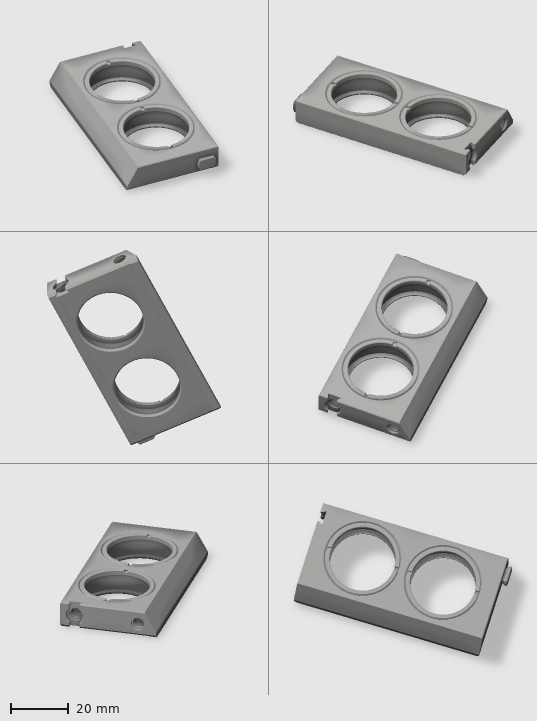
import cadquery as cq
import math

TOTAL_LENGTH = 69.3
STUD_LENGTH = 2.0
BLOCK_LENGTH = TOTAL_LENGTH - STUD_LENGTH
DEPTH = 34.5
HEIGHT = 9.4
MID_HEIGHT = HEIGHT / 2

FRONT_BEVEL_RUN = 4.1
FRONT_BEVEL_ANGLE = 60.0
FRONT_BEVEL_DROP = FRONT_BEVEL_RUN * math.tan(math.radians(FRONT_BEVEL_ANGLE))
EDGE_BREAK = 0.3
END_CHAMFER = 1.05

FOOT_WIDTH = 2.7
FOOT_HEIGHT = 0.2

BORE_X = (19.05, 48.3)
BORE_Y = 19.25
BORE_DIAMETER = 26.25
BORE_MOUTH_DIAMETER = 27.3
LEDGE_DIAMETER = 22.9
LEDGE_FLARE_DIAMETER = 24.0
LEDGE_TOP = 1.2
MOUTH_CHAMFER = (BORE_MOUTH_DIAMETER - BORE_DIAMETER) / 2
LEDGE_CHAMFER = (LEDGE_FLARE_DIAMETER - LEDGE_DIAMETER) / 2

RING_HEIGHT = 1.7
RING_INNER_DIAMETER = 22.9
RING_OUTER_CHAMFER = 0.35
RING_INNER_CHAMFER = 0.2
SPANNER_SLOT_WIDTH = 1.3
SPANNER_SLOT_DEPTH = 0.8

LOCK_Y = 29.45
STUD_NECK_RADIUS = 2.7
STUD_HEAD_RADIUS = 3.5
STUD_FLARE_LENGTH = 1.45
STUD_TIP_CHAMFER = 0.4
STUD_FLAT_INSET = 1.2

SOCKET_DEPTH = 2.0
SOCKET_LIP = 0.7
SOCKET_NECK_RADIUS = 3.0
SOCKET_HEAD_RADIUS = 3.75
SOCKET_BREAK = 0.3
SOCKET_SLOT_INSET = 1.25

FRONT_MAGNET_Y = 6.6
MAGNET_DIAMETER = 4.8
MAGNET_DEPTH = 1.0
PILOT_DIAMETER = 4.0
PILOT_DEPTH = 4.0


def block_body():
    """Beveled prism with chamfered edges and a shallow channel underneath."""
    body = (
        cq.Workplane("YZ")
        .moveTo(0, 0)
        .lineTo(DEPTH, 0)
        .lineTo(DEPTH, HEIGHT)
        .lineTo(FRONT_BEVEL_RUN, HEIGHT)
        .lineTo(0, HEIGHT - FRONT_BEVEL_DROP)
        .close()
        .extrude(BLOCK_LENGTH)
    )
    body = body.faces("<X or >X").edges("<Z").chamfer(END_CHAMFER)
    body = body.faces(">Z").edges("|Y or >Y").chamfer(EDGE_BREAK)
    body = body.faces("<Z").edges(">Y").chamfer(EDGE_BREAK)
    channel_width = DEPTH - 2 * FOOT_WIDTH
    channel = cq.Workplane().box(BLOCK_LENGTH, channel_width, FOOT_HEIGHT, centered=False)
    return body.cut(channel.translate((0, FOOT_WIDTH, 0)))


def ring_bore(x):
    """Bore with a chamfered mouth, above a narrower ledge opening that is chamfered below."""
    flare_radius = LEDGE_FLARE_DIAMETER / 2
    ledge_radius = LEDGE_DIAMETER / 2
    bore_radius = BORE_DIAMETER / 2
    mouth_radius = BORE_MOUTH_DIAMETER / 2
    profile = (
        cq.Workplane("XZ")
        .moveTo(0, 0)
        .lineTo(flare_radius, 0)
        .lineTo(flare_radius, FOOT_HEIGHT)
        .lineTo(ledge_radius, FOOT_HEIGHT + LEDGE_CHAMFER)
        .lineTo(ledge_radius, LEDGE_TOP)
        .lineTo(bore_radius, LEDGE_TOP)
        .lineTo(bore_radius, HEIGHT - MOUTH_CHAMFER)
        .lineTo(mouth_radius, HEIGHT)
        .lineTo(0, HEIGHT)
        .close()
    )
    return profile.revolve(360, (0, 0, 0), (0, 1, 0)).translate((x, BORE_Y, 0))


def stud_half_profile(inset):
    """Points (distance from the end face, half width) of the flared stud."""
    neck = STUD_NECK_RADIUS - inset
    head = STUD_HEAD_RADIUS - inset
    return [
        (0, neck),
        (STUD_FLARE_LENGTH, head),
        (STUD_LENGTH - STUD_TIP_CHAMFER, head),
        (STUD_LENGTH, head - STUD_TIP_CHAMFER),
    ]


def socket_half_profile(inset):
    """Points (distance from the end face, half width) of the undercut socket."""
    neck = SOCKET_NECK_RADIUS - inset
    head = SOCKET_HEAD_RADIUS - inset
    return [
        (0, neck + SOCKET_BREAK),
        (SOCKET_BREAK, neck),
        (SOCKET_LIP, neck),
        (SOCKET_DEPTH, head),
    ]


def round_from(half_profile):
    """Revolve a half profile about the X axis."""
    end = half_profile[-1][0]
    outline = cq.Workplane("XY").polyline([(0, 0), *half_profile, (end, 0)]).close()
    return outline.revolve(360, (0, 0, 0), (1, 0, 0))


def prism_from(half_profile, plane, length):
    """Extrude the mirrored half profile evenly to both sides of the plane."""
    mirrored = [(x, -half_width) for x, half_width in reversed(half_profile)]
    return cq.Workplane(plane).polyline(half_profile + mirrored).close().extrude(length / 2, both=True)


def lock_stud():
    """Round flared stud with flats above and below."""
    stud = round_from(stud_half_profile(0))
    flats = prism_from(stud_half_profile(STUD_FLAT_INSET), "XZ", 2 * STUD_HEAD_RADIUS)
    return stud.intersect(flats).translate((BLOCK_LENGTH, LOCK_Y, MID_HEIGHT))


def lock_socket():
    """Vertical dovetail slot with a round undercut in which the stud turns."""
    slot = prism_from(socket_half_profile(SOCKET_SLOT_INSET), "XY", HEIGHT)
    turning_space = round_from(socket_half_profile(0))
    return slot.union(turning_space).translate((0, LOCK_Y, MID_HEIGHT))


def magnet_hole(x, y):
    """Stepped blind hole running in +X from the face at x."""
    start = cq.Workplane("YZ", origin=(x, y, MID_HEIGHT))
    magnet = start.circle(MAGNET_DIAMETER / 2).extrude(MAGNET_DEPTH)
    pilot = start.circle(PILOT_DIAMETER / 2).extrude(MAGNET_DEPTH + PILOT_DEPTH)
    return magnet.union(pilot)


def make_housing():
    housing = block_body()
    for x in BORE_X:
        housing = housing.cut(ring_bore(x))
    housing = housing.cut(lock_socket())
    housing = housing.cut(magnet_hole(SOCKET_DEPTH, LOCK_Y))
    housing = housing.cut(magnet_hole(0, FRONT_MAGNET_Y))
    return housing.union(lock_stud())


def make_retaining_ring(x):
    """Flat ring, flush with the top, with two spanner slots along X."""
    ring = (
        cq.Workplane("XY")
        .circle(BORE_DIAMETER / 2)
        .circle(RING_INNER_DIAMETER / 2)
        .extrude(RING_HEIGHT)
    )
    ring = ring.faces(">Z").edges(cq.selectors.RadiusNthSelector(1)).chamfer(RING_OUTER_CHAMFER)
    ring = ring.faces(">Z").edges(cq.selectors.RadiusNthSelector(0)).chamfer(RING_INNER_CHAMFER)
    slot = cq.Workplane("XY").box(BORE_DIAMETER, SPANNER_SLOT_WIDTH, 2 * SPANNER_SLOT_DEPTH)
    ring = ring.cut(slot.translate((0, 0, RING_HEIGHT)))
    return ring.translate((x, BORE_Y, HEIGHT - RING_HEIGHT))


housing = make_housing()
retaining_rings = [make_retaining_ring(x) for x in BORE_X]

result = cq.Compound.makeCompound([housing.val(), *[ring.val() for ring in retaining_rings]])